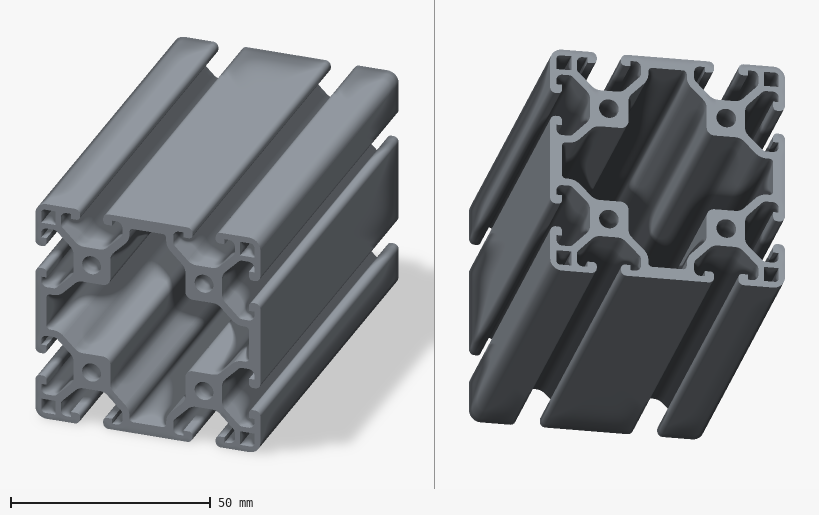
import cadquery as cq
import math

side = 60.0
length = 100.0
corner_radius = 3.0

half_side = side / 2
core_offset = side / 4

mouth_width = 6.2
lip_depth = 3.0
lip_width = 2.4
lip_outer_radius = 1.4
lip_inner_radius = 1.0
skin_thickness = 1.6
chamber_width = 16.4
chamber_radius = 1.5
chamber_bend_radius = 1.5
slot_depth = 10.2
floor_bend_radius = 3.0
overshoot = 1.0

strut_thickness = 2.0
strut_shift = strut_thickness / math.sqrt(2)

core_width = 10.0
core_radius = 2.0
bore_diameter = 5.0

void_neck_width = 9.8
void_wall = 3.0
void_corner_radius = 1.0
void_bend_radius = 4.0
void_core_bend_radius = 3.0
hollow_depth = 5.4
hollow_radius = 1.0


def rounded_polygon(corners):
    """Closed sketch through (x, z, radius) corners, each rounded by a tangent arc."""
    sketch = None
    count = len(corners)
    for index, (x, z, radius) in enumerate(corners):
        before = cq.Vector(*corners[index - 1][:2])
        after = cq.Vector(*corners[(index + 1) % count][:2])
        corner = cq.Vector(x, z)
        to_before = (before - corner).normalized()
        to_after = (after - corner).normalized()
        half_angle = to_before.getAngle(to_after) / 2
        setback = radius / math.tan(half_angle)
        start = corner + to_before * setback
        if sketch is None:
            sketch = cq.Workplane("XZ").moveTo(start.x, start.y)
        else:
            sketch = sketch.lineTo(start.x, start.y)
        if radius > 0:
            bisector = (to_before + to_after).normalized()
            middle = corner + bisector * (radius / math.sin(half_angle) - radius)
            end = corner + to_after * setback
            sketch = sketch.threePointArc((middle.x, middle.y), (end.x, end.y))
    return sketch.close()


def full_length(sketch):
    """Extrude an XZ sketch over the whole profile length."""
    return sketch.extrude(length / 2, both=True)


def slot():
    """Slot in the top face, centred on X = core_offset."""
    mouth = mouth_width / 2
    lip_back = mouth + lip_width
    chamber = chamber_width / 2
    face_sum = half_side - core_offset - strut_shift
    chamber_bend_depth = face_sum - chamber
    floor_half = face_sum - slot_depth
    right = [
        (lip_back, -overshoot, 0),
        (lip_back, 0, 0),
        (mouth, 0, lip_outer_radius),
        (mouth, lip_depth, lip_inner_radius),
        (lip_back, lip_depth, 0),
        (lip_back, skin_thickness, 0),
        (chamber, skin_thickness, chamber_radius),
        (chamber, chamber_bend_depth, chamber_bend_radius),
        (floor_half, slot_depth, floor_bend_radius),
    ]
    left = [(-u, depth, radius) for u, depth, radius in reversed(right)]
    corners = [(core_offset + u, half_side - depth, radius) for u, depth, radius in right + left]
    return full_length(rounded_polygon(corners))


def central_void():
    """Cross-shaped void between the four cores."""
    neck = void_neck_width / 2
    reach = half_side - void_wall
    core_face = core_offset - core_width / 2
    face_sum = 2 * core_offset - strut_shift
    octant = [
        (neck, reach, void_corner_radius),
        (neck, face_sum - neck, void_bend_radius),
        (core_face, face_sum - core_face, void_core_bend_radius),
    ]
    core_corner = (core_face, core_face, core_radius)
    quadrant = octant + [core_corner] + [(z, x, r) for x, z, r in reversed(octant)]
    half = quadrant + [(x, -z, r) for x, z, r in reversed(quadrant)]
    return full_length(rounded_polygon(half + [(-x, z, r) for x, z, r in reversed(half)]))


def corner_hollow():
    """Small hollow in the +X +Z corner, rounded on its outer corner only."""
    outer = half_side - skin_thickness
    inner = half_side - hollow_depth
    corners = [(outer, outer, hollow_radius), (outer, inner, 0), (inner, inner, 0), (inner, outer, 0)]
    return full_length(rounded_polygon(corners))


def core_bore():
    """Round bore through the +X +Z core."""
    return full_length(cq.Workplane("XZ").center(core_offset, core_offset).circle(bore_diameter / 2))


result = cq.Workplane("XY").box(side, length, side).edges("|Y").fillet(corner_radius)
result = result.cut(central_void())
cutters = (slot(), slot().mirror("YZ"), corner_hollow(), core_bore())
for turn in range(4):
    for cutter in cutters:
        result = result.cut(cutter.rotate((0, 0, 0), (0, 1, 0), 90 * turn))